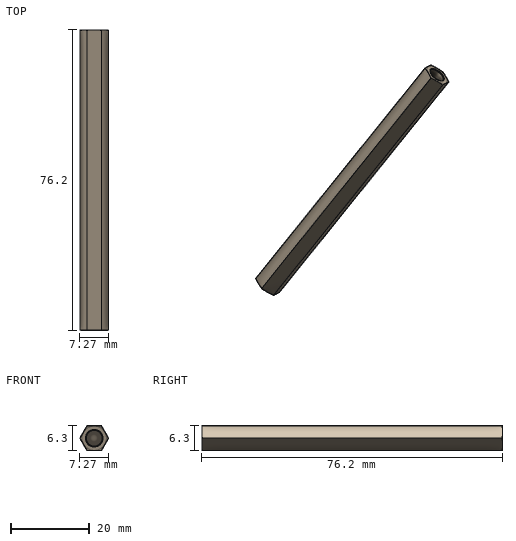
import cadquery as cq
import math

length = 76.2
across_flats = 6.3
across_corners = across_flats / math.cos(math.radians(30))

bevel_end_diameter = 6.2
bevel_angle = 10.0

bore_diameter = 4.05
bore_depth = 15.25
mouth_diameter = 4.4
mouth_angle = 90.0


def hex_bar():
    """Hexagonal bar with flats on the top and bottom and corners on +X and -X."""
    return cq.Workplane("XZ").polygon(6, across_corners).extrude(length / 2, both=True)


def bevelled_envelope():
    """Round bar with coned ends, which touches the hexagon only at its corners."""
    outer_radius = across_corners / 2
    end_radius = bevel_end_diameter / 2
    bevel_length = (outer_radius - end_radius) * math.tan(math.radians(bevel_angle))
    shoulder = length / 2 - bevel_length
    return (
        cq.Workplane("XY")
        .moveTo(0, -length / 2)
        .lineTo(end_radius, -length / 2)
        .lineTo(outer_radius, -shoulder)
        .lineTo(outer_radius, shoulder)
        .lineTo(end_radius, length / 2)
        .lineTo(0, length / 2)
        .close()
        .revolve(360, (0, 0, 0), (0, 1, 0))
    )


part = hex_bar().intersect(bevelled_envelope())
for end_face in ("<Y", ">Y"):
    part = (
        part.faces(end_face)
        .workplane(centerOption="CenterOfBoundBox")
        .cskHole(bore_diameter, mouth_diameter, mouth_angle, bore_depth)
    )

result = part